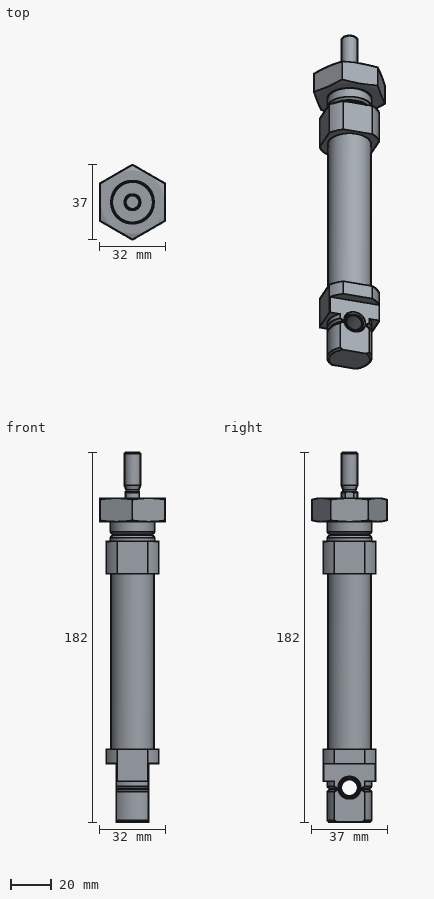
import cadquery as cq
import math

total_height = 182.0
nut_top = 159.5
nut_bottom = 147.8
head_face = 158.5
head_groove_height = 141.5
head_top = 138.1
head_bottom = 122.1
foot_top = 35.9
foot_shoulder = 28.8
foot_bottom = 20.0
pivot_height = 17.0
tail_groove_height = 16.2

tube_diameter = 21.3
thread_diameter = 22.0
groove_diameter = 19.7
groove_mouth_width = 2.7
block_width = 26.0
block_corner_diameter = 30.0
tongue_thickness = 16.0
head_chamfer = 0.7
tail_chamfer = 1.0
pivot_diameter = 8.0
pivot_recess_mouth_diameter = 11.1
pivot_recess_floor_diameter = 9.5

nut_width = 32.0
nut_corner_diameter = nut_width / math.cos(math.pi / 6)
nut_face_diameter = 31.1
nut_bore_diameter = 21.3
nut_chamfer_height = 0.7

rod_diameter = 8.0
rod_flat_width = 7.0
rod_neck_diameter = 6.4
rod_flats_top = 162.5
rod_shoulder_chamfer = 0.4
rod_neck_top = 163.6
rod_thread_bottom = 165.8
rod_chamfer = 0.7


def disc(diameter, bottom, top):
    """Upright round bar on the Z axis between two heights."""
    return cq.Workplane("XY").workplane(offset=bottom).circle(diameter / 2).extrude(top - bottom)


def slab(x_size, y_size, bottom, top):
    """Upright rectangular bar on the Z axis between two heights."""
    return cq.Workplane("XY").workplane(offset=bottom).rect(x_size, y_size).extrude(top - bottom)


def block(bottom, top):
    """Square wrench block with its corners turned round."""
    return slab(block_width, block_width, bottom, top).intersect(disc(block_corner_diameter, bottom, top))


def grooved_stub(bottom, top, groove_height):
    """Threaded stub with a runout groove whose walls slope at 45 degrees."""
    thread_radius = thread_diameter / 2
    groove_radius = groove_diameter / 2
    mouth_half = groove_mouth_width / 2
    floor_half = mouth_half - (thread_radius - groove_radius)
    groove = (
        cq.Workplane("XZ", origin=(0, 0, groove_height))
        .moveTo(thread_radius, -mouth_half)
        .lineTo(groove_radius, -floor_half)
        .lineTo(groove_radius, floor_half)
        .lineTo(thread_radius, mouth_half)
        .close()
        .revolve(360, (0, 0, 0), (0, 1, 0))
    )
    return disc(thread_diameter, bottom, top).cut(groove)


def make_housing():
    """Tube with a threaded head, a wrench block at each end and a flat pivot tail."""
    head_stub = grooved_stub(head_top, nut_bottom, head_groove_height)
    nut_seat = disc(nut_bore_diameter, nut_bottom, head_face).faces(">Z").chamfer(head_chamfer)
    head = block(head_bottom, head_top).union(head_stub).union(nut_seat)
    tube = disc(tube_diameter, foot_top, head_bottom)

    tail_stub = grooved_stub(0, foot_bottom, tail_groove_height)
    tail_stub = tail_stub.faces("<Z").chamfer(tail_chamfer)
    tongue = block(foot_bottom, foot_shoulder).union(tail_stub)
    tongue = tongue.intersect(slab(tongue_thickness, block_corner_diameter, 0, foot_shoulder))

    housing = head.union(tube).union(block(foot_shoulder, foot_top)).union(tongue)
    return cut_pivot_hole(housing)


def cut_pivot_hole(housing):
    """Cross hole along X through the tail, with a tapered flat-floored recess on both sides."""
    half_thickness = tongue_thickness / 2
    hole_radius = pivot_diameter / 2
    mouth_radius = pivot_recess_mouth_diameter / 2
    floor_radius = pivot_recess_floor_diameter / 2
    floor_x = half_thickness - (mouth_radius - floor_radius)
    cutter = (
        cq.Workplane("XZ", origin=(0, 0, pivot_height))
        .moveTo(-half_thickness, 0)
        .lineTo(-half_thickness, mouth_radius)
        .lineTo(-floor_x, floor_radius)
        .lineTo(-floor_x, hole_radius)
        .lineTo(floor_x, hole_radius)
        .lineTo(floor_x, floor_radius)
        .lineTo(half_thickness, mouth_radius)
        .lineTo(half_thickness, 0)
        .close()
        .revolve(360, (0, 0, 0), (1, 0, 0))
    )
    return housing.cut(cutter)


def make_nut():
    """Hexagon lock nut, corners along Y, corner tips bevelled at both faces."""
    corner_radius = nut_corner_diameter / 2
    face_radius = nut_face_diameter / 2
    hexagon = (
        cq.Workplane("XY")
        .workplane(offset=nut_bottom)
        .polygon(6, nut_corner_diameter)
        .extrude(nut_top - nut_bottom)
        .rotate((0, 0, 0), (0, 0, 1), 90)
    )
    bevelled_envelope = (
        cq.Workplane("XZ")
        .moveTo(0, nut_bottom)
        .lineTo(face_radius, nut_bottom)
        .lineTo(corner_radius, nut_bottom + nut_chamfer_height)
        .lineTo(corner_radius, nut_top - nut_chamfer_height)
        .lineTo(face_radius, nut_top)
        .lineTo(0, nut_top)
        .close()
        .revolve(360, (0, 0, 0), (0, 1, 0))
    )
    return hexagon.intersect(bevelled_envelope).cut(disc(nut_bore_diameter, nut_bottom, nut_top))


def make_rod():
    """Rod end standing on the head: wrench flats, tapered neck and threaded tip."""
    flats = disc(rod_diameter, head_face, rod_flats_top).faces(">Z").chamfer(rod_shoulder_chamfer)
    flats = flats.intersect(slab(rod_flat_width, rod_diameter, head_face, rod_flats_top))
    neck = disc(rod_neck_diameter, rod_flats_top, rod_neck_top)
    taper = (
        neck.faces(">Z")
        .workplane()
        .circle(rod_neck_diameter / 2)
        .workplane(offset=rod_thread_bottom - rod_neck_top)
        .circle(rod_diameter / 2)
        .loft(combine=False)
    )
    tip = disc(rod_diameter, rod_thread_bottom, total_height).faces(">Z").chamfer(rod_chamfer)
    return flats.union(neck).union(taper).union(tip)


housing = make_housing()
nut = make_nut()
rod = make_rod()

result = cq.Compound.makeCompound([housing.val(), nut.val(), rod.val()])